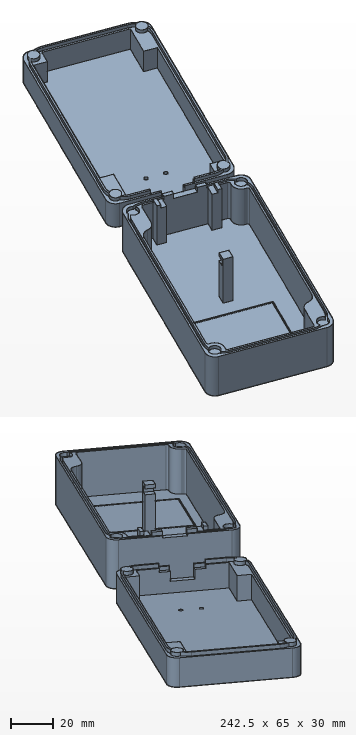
import cadquery as cq
import math

LENGTH = 115.0
WIDTH = 65.0
GAP = 12.5
CORNER_RADIUS = 5.0
WALL = 3.0
FLOOR = 2.0
RIM_CORNER_RADIUS = 11.0

HALF_LENGTH = LENGTH / 2
HALF_WIDTH = WIDTH / 2
INNER_X = HALF_LENGTH - WALL
INNER_Y = HALF_WIDTH - WALL
CENTER_X = (LENGTH + GAP) / 2
LID_HEIGHT = 15.0
BOX_HEIGHT = 25.0

LIP_INSET = 1.0
LIP_WIDTH = 1.0
LIP_HEIGHT = 2.0
PIN_RADIUS = 3.0
FIT_CLEARANCE = 0.05
PIN_INSET = 5.0

POST_WIDTH = 10.0
SHORT_POST = 10.0
LONG_POST = 20.0
SHORT_POST_RADIUS = 5.0
POST_ROOT_RADIUS = 1.0
LONG_POST_RADIUS = 4.5

PORT_HALF_WIDTH = 6.0
PORT_BOX_DEPTH = 1.0
PORT_LID_DEPTH = 7.0
TAB_OUTER_Y = 11.0
TAB_WIDTH = TAB_OUTER_Y - PORT_HALF_WIDTH
TAB_THICKNESS = WALL - LIP_INSET
TAB_SLOT_CLEARANCE = 0.25

GUIDE_INNER_Y = 11.5
GUIDE_STEP_Y = 14.5
GUIDE_OUTER_Y = 16.5
GUIDE_END = 8.0

HOOK_SIZE = 5.0
HOOK_TOP = 30.0
HOOK_CAP = 2.0
HOOK_STEM = 1.5
HOOK_SLOT_BOTTOM = 25.0

FRAME_LENGTH = 35.0
FRAME_WIDTH = 45.0
FRAME_CENTER = (25.0, -2.5)
FRAME_GROOVE = 0.5
FRAME_DEPTH = 0.5

LID_HOLE_RADIUS = 1.0
LID_HOLE_X = 32.5
LID_HOLE_SPACING = 10.0
LID_HOLE_CENTER_Y = 1.0


def block(x0, x1, y0, y1, z0, z1):
    """Box spanning two opposite corners, given in any order along each axis."""
    size = (abs(x1 - x0), abs(y1 - y0), abs(z1 - z0))
    return (
        cq.Workplane("XY")
        .box(*size)
        .translate(((x0 + x1) / 2, (y0 + y1) / 2, (z0 + z1) / 2))
    )


def rounded_plate(inset, radius, z0, z1):
    """Plate following the case outline, inset from it by the given distance."""
    return (
        cq.Workplane("XY", origin=(0, 0, z0))
        .rect(LENGTH - 2 * inset, WIDTH - 2 * inset)
        .extrude(z1 - z0)
        .edges("|Z")
        .fillet(radius)
    )


def lip_ring(z0, z1, clearance=0.0):
    """Ring in plan that is the lid's lip, or the box's groove when given a clearance."""
    outer_inset = LIP_INSET - clearance
    inner_inset = LIP_INSET + LIP_WIDTH + clearance
    outer = rounded_plate(outer_inset, RIM_CORNER_RADIUS - outer_inset, z0, z1)
    return outer.cut(rounded_plate(inner_inset, RIM_CORNER_RADIUS - inner_inset, z0, z1))


def open_tray(height):
    """Outer walls and floor, open at the top."""
    tray = rounded_plate(0, CORNER_RADIUS, 0, height)
    return tray.cut(block(-INNER_X, INNER_X, -INNER_Y, INNER_Y, FLOOR, height))


def corner_pins(z0, z1, clearance=0.0):
    """Four cylinders, one at each corner, enlarged by a clearance when they cut the sockets."""
    return (
        cq.Workplane("XY", origin=(0, 0, z0))
        .rect(LENGTH - 2 * PIN_INSET, WIDTH - 2 * PIN_INSET, forConstruction=True)
        .vertices()
        .circle(PIN_RADIUS + clearance)
        .extrude(z1 - z0)
    )


def place_in_corner(post, sx, sy):
    """Move a post drawn for the (-X, -Y) corner to the corner with the given signs."""
    if sx > 0:
        post = post.mirror("YZ")
    if sy > 0:
        post = post.mirror("XZ")
    return post


def square_post(length, height):
    """Plain rectangular post in the (-X, -Y) corner, kept inside the outer outline."""
    post = block(-HALF_LENGTH, length - HALF_LENGTH, -HALF_WIDTH, POST_WIDTH - HALF_WIDTH, 0, height)
    return post.intersect(rounded_plate(0, CORNER_RADIUS, 0, height))


def short_round_post(height):
    """Square post in the (-X, -Y) corner with its free edge rounded."""
    free_edge = cq.selectors.NearestToPointSelector(
        (SHORT_POST - HALF_LENGTH, POST_WIDTH - HALF_WIDTH, height / 2)
    )
    return square_post(SHORT_POST, height).edges("|Z").edges(free_edge).fillet(SHORT_POST_RADIUS)


def long_curved_post(height):
    """Long post in the (-X, -Y) corner whose end runs into the side wall in an S."""
    r = LONG_POST_RADIUS
    mid_x = LONG_POST - HALF_LENGTH
    wall_y = WALL - HALF_WIDTH
    post_y = POST_WIDTH - HALF_WIDTH
    rise = (post_y - wall_y) / 2
    run = math.sqrt(r**2 - (r - rise) ** 2)
    post = (
        cq.Workplane("XY")
        .moveTo(-HALF_LENGTH, -HALF_WIDTH)
        .lineTo(mid_x + run, -HALF_WIDTH)
        .lineTo(mid_x + run, wall_y)
        .radiusArc((mid_x, wall_y + rise), r)
        .radiusArc((mid_x - run, post_y), -r)
        .lineTo(-HALF_LENGTH, post_y)
        .close()
        .extrude(height)
    )
    return post.intersect(rounded_plate(0, CORNER_RADIUS, 0, height))


def fillet_post_roots(box):
    """Round the inside edges where the posts' flat faces meet the walls."""
    post_y = HALF_WIDTH - POST_WIDTH
    post_x = HALF_LENGTH - SHORT_POST
    mid_z = (FLOOR + BOX_HEIGHT) / 2
    roots = [(x, y, mid_z) for x in (-INNER_X, INNER_X) for y in (-post_y, post_y)]
    roots += [(-post_x, INNER_Y, mid_z), (post_x, -INNER_Y, mid_z)]
    for root in roots:
        box = box.edges("|Z").edges(cq.selectors.NearestToPointSelector(root)).fillet(POST_ROOT_RADIUS)
    return box


def make_lid():
    lid = open_tray(LID_HEIGHT)
    for side in (-1, 1):
        lid = lid.union(place_in_corner(square_post(SHORT_POST, LID_HEIGHT), side, side))
        lid = lid.union(place_in_corner(square_post(LONG_POST, LID_HEIGHT), side, -side))
    top = LID_HEIGHT + LIP_HEIGHT
    lid = lid.union(lip_ring(LID_HEIGHT, top))
    lid = lid.union(corner_pins(LID_HEIGHT, top))

    port_bottom = LID_HEIGHT - PORT_LID_DEPTH
    lid = lid.cut(block(INNER_X, HALF_LENGTH, -PORT_HALF_WIDTH, PORT_HALF_WIDTH, port_bottom, top))
    slot_bottom = LID_HEIGHT - LIP_HEIGHT
    slot_y = TAB_OUTER_Y + TAB_SLOT_CLEARANCE
    lid = lid.cut(block(INNER_X, HALF_LENGTH - LIP_INSET, -slot_y, slot_y, slot_bottom, top))

    hole_ys = [LID_HOLE_CENTER_Y + side * LID_HOLE_SPACING / 2 for side in (-1, 1)]
    holes = (
        cq.Workplane("XY")
        .pushPoints([(LID_HOLE_X, y) for y in hole_ys])
        .circle(LID_HOLE_RADIUS)
        .extrude(FLOOR)
    )
    return lid.cut(holes)


def hooked_post():
    """Square post with a slot open to -X below its cap, leaving a thin stem at +X."""
    half = HOOK_SIZE / 2
    post = block(-HOOK_SIZE, 0, -half, half, 0, HOOK_TOP)
    slot = block(-HOOK_SIZE, -HOOK_STEM, -half, half, HOOK_SLOT_BOTTOM, HOOK_TOP - HOOK_CAP)
    return post.cut(slot)


def floor_groove():
    """Narrow rectangular ring sunk into the box floor."""
    outer = cq.Workplane("XY").rect(FRAME_LENGTH, FRAME_WIDTH)
    groove = outer.rect(FRAME_LENGTH - 2 * FRAME_GROOVE, FRAME_WIDTH - 2 * FRAME_GROOVE).extrude(FRAME_DEPTH)
    return groove.translate((*FRAME_CENTER, FLOOR - FRAME_DEPTH))


def make_box():
    box = open_tray(BOX_HEIGHT)
    for side in (-1, 1):
        box = box.union(place_in_corner(short_round_post(BOX_HEIGHT), side, -side))
        box = box.union(place_in_corner(long_curved_post(BOX_HEIGHT), side, side))
    box = fillet_post_roots(box)
    groove_bottom = BOX_HEIGHT - LIP_HEIGHT
    box = box.cut(lip_ring(groove_bottom, BOX_HEIGHT, FIT_CLEARANCE))
    box = box.cut(corner_pins(groove_bottom, BOX_HEIGHT, FIT_CLEARANCE))

    wall_x = -HALF_LENGTH
    tab_x = wall_x + LIP_INSET
    fill_x = tab_x - FIT_CLEARANCE
    guide_x = wall_x + WALL
    guide_end = wall_x + GUIDE_END
    top = BOX_HEIGHT + LIP_HEIGHT
    box = box.union(block(fill_x, wall_x + WALL, -TAB_OUTER_Y, TAB_OUTER_Y, groove_bottom, BOX_HEIGHT))
    for side in (-1, 1):
        tab_y = side * TAB_OUTER_Y
        step_y = side * GUIDE_STEP_Y
        outer_y = side * GUIDE_OUTER_Y
        tab = block(tab_x, tab_x + TAB_THICKNESS, tab_y - side * TAB_WIDTH, tab_y, BOX_HEIGHT, top)
        low_guide = block(guide_x, guide_end, side * GUIDE_INNER_Y, step_y, 0, BOX_HEIGHT)
        high_guide = block(guide_x, guide_end, step_y, outer_y, 0, top)
        box = box.union(tab).union(low_guide).union(high_guide)
    port_bottom = BOX_HEIGHT - PORT_BOX_DEPTH
    box = box.cut(block(wall_x, wall_x + WALL, -PORT_HALF_WIDTH, PORT_HALF_WIDTH, port_bottom, BOX_HEIGHT))

    return box.union(hooked_post()).cut(floor_groove())


lid = make_lid().translate((-CENTER_X, 0, 0))
box = make_box().translate((CENTER_X, 0, 0))

result = cq.Compound.makeCompound([lid.val(), box.val()])